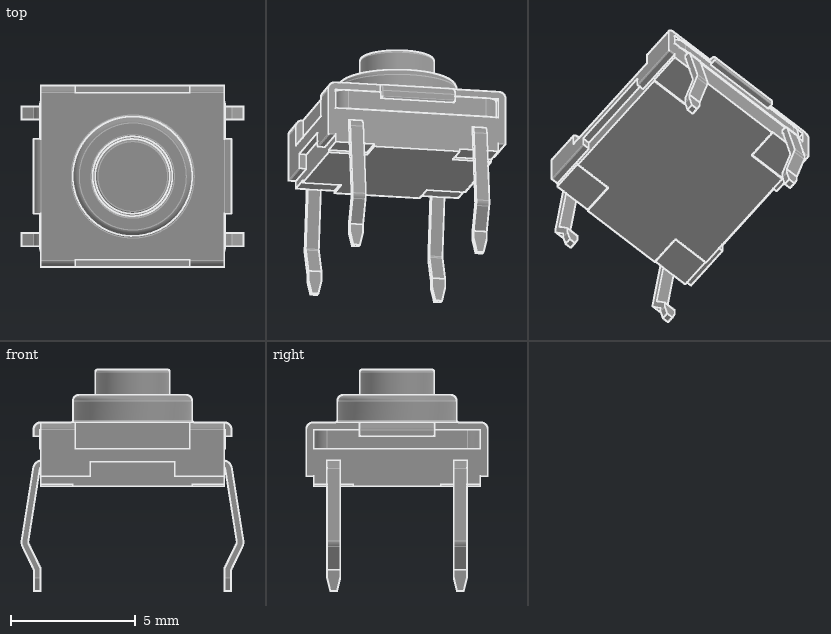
import cadquery as cq
import math

TOTAL_HEIGHT = 8.9
COLLAR_TOP = 7.885
COVER_TOP = 6.78
LEDGE_TOP = 5.71
LEDGE_BOTTOM = 5.19
COVER_BOTTOM = 4.6
BODY_BOTTOM = 4.2

SHEET = 0.3
BEND_RADIUS = 0.285
COVER_HALF_X = 3.68
COVER_HALF_Y = 3.65
WINDOW_HALF_X = 2.3
LEG_GAP_HALF_X = 1.695
EDGE_ROUND = 0.03

TAB_HALF_Y = 1.51
TAB_BOTTOM = 6.21
TAB_THICKNESS = 0.29

BODY_HALF_X = COVER_HALF_X
BODY_HALF_Y = COVER_HALF_Y - SHEET
BODY_TOP = COVER_TOP - SHEET
UPPER_BODY_HALF_X = 3.72
UPPER_CORNER_RADIUS = 0.52
CORNER_RELIEF_HEIGHT = 0.1
RELIEF_START_X = 2.39
RELIEF_START_Y = 1.76

COLLAR_DIAMETER = 4.8
COLLAR_TOP_ROUND = 0.25
COLLAR_HOLE_DIAMETER = 3.2
COLLAR_SMALL_ROUND = 0.07
BUTTON_DIAMETER = 3.0
BUTTON_ROUND = 0.1

LEAD_WIDTH = 0.535
LEAD_THICKNESS = 0.28
LEAD_Y = 2.54
LEAD_TOP = 5.25
LEAD_HALF_SPAN = 4.46
LEAD_ROOT_X = 3.21
LEAD_BEND_RADIUS = 0.375
SHOULDER_CENTRE = (3.62, LEAD_TOP - LEAD_BEND_RADIUS)
KNEE_CENTRE = (LEAD_HALF_SPAN - LEAD_BEND_RADIUS, 1.96)
SLOPE_ANGLE = math.radians(26)
TIP_WIDTH = 0.28
TIP_TAPER_HEIGHT = 0.535


def block(half_x, half_y, bottom, top):
    """Box centred on the Z axis between two heights."""
    return (
        cq.Workplane("XY")
        .workplane(offset=bottom)
        .rect(2 * half_x, 2 * half_y)
        .extrude(top - bottom)
    )


def make_body():
    """Lower block, upper block with rounded corners and the two side ledges."""
    lower = block(BODY_HALF_X, BODY_HALF_Y, BODY_BOTTOM, LEDGE_TOP)
    relief_x = BODY_HALF_X - RELIEF_START_X
    relief_y = BODY_HALF_Y - RELIEF_START_Y
    for side_x in (-1, 1):
        for side_y in (-1, 1):
            relief = (
                cq.Workplane("XY")
                .workplane(offset=BODY_BOTTOM)
                .center(
                    side_x * (RELIEF_START_X + relief_x / 2),
                    side_y * (RELIEF_START_Y + relief_y / 2),
                )
                .rect(relief_x, relief_y)
                .extrude(CORNER_RELIEF_HEIGHT)
            )
            lower = lower.cut(relief)
    upper = (
        block(UPPER_BODY_HALF_X, BODY_HALF_Y, LEDGE_TOP, BODY_TOP)
        .edges("|Z")
        .fillet(UPPER_CORNER_RADIUS)
    )
    ledges = block(WINDOW_HALF_X, COVER_HALF_Y, LEDGE_BOTTOM, LEDGE_TOP)
    return lower.union(upper).union(ledges)


def make_cover():
    """Bent sheet open at both X ends, pierced on top and with a stepped window in each Y wall."""
    cover = (
        block(COVER_HALF_X, COVER_HALF_Y, COVER_BOTTOM, COVER_TOP)
        .edges("|X and >Z")
        .fillet(BEND_RADIUS)
        .cut(block(COVER_HALF_X, BODY_HALF_Y, COVER_BOTTOM, BODY_TOP))
    )
    plate = (
        block(COVER_HALF_X, BODY_HALF_Y, BODY_TOP, COVER_TOP)
        .faces(">Z")
        .workplane()
        .hole(COLLAR_HOLE_DIAMETER)
    )
    cover = (
        cover.cut(block(WINDOW_HALF_X, COVER_HALF_Y, LEDGE_BOTTOM, COVER_TOP))
        .cut(block(LEG_GAP_HALF_X, COVER_HALF_Y, COVER_BOTTOM, LEDGE_BOTTOM))
        .union(plate)
    )
    return (
        cover.faces("<Z")
        .edges("(|X and (<Y or >Y)) or (|Y and (<X or >X))")
        .fillet(EDGE_ROUND)
    )


def make_tab():
    """Tab at the +X end, folded down with a rounded bend."""
    outer_x = COVER_HALF_X + TAB_THICKNESS
    bend_centre_z = COVER_TOP - TAB_THICKNESS
    diagonal = TAB_THICKNESS * math.sqrt(0.5)
    return (
        cq.Workplane("XZ")
        .moveTo(COVER_HALF_X, TAB_BOTTOM)
        .lineTo(outer_x, TAB_BOTTOM)
        .lineTo(outer_x, bend_centre_z)
        .threePointArc(
            (COVER_HALF_X + diagonal, bend_centre_z + diagonal),
            (COVER_HALF_X, COVER_TOP),
        )
        .close()
        .extrude(TAB_HALF_Y, both=True)
        .faces(">X")
        .edges()
        .fillet(EDGE_ROUND)
    )


def make_collar():
    """Round collar with a flared foot and rounded edges at its top and opening."""
    radius = COLLAR_DIAMETER / 2
    flare = COLLAR_SMALL_ROUND
    quarter = 1 - math.sqrt(0.5)
    return (
        cq.Workplane("XZ")
        .moveTo(0, COVER_TOP)
        .lineTo(radius + flare, COVER_TOP)
        .threePointArc(
            (radius + flare * quarter, COVER_TOP + flare * quarter),
            (radius, COVER_TOP + flare),
        )
        .lineTo(radius, COLLAR_TOP)
        .lineTo(0, COLLAR_TOP)
        .close()
        .revolve(360, (0, 0, 0), (0, 1, 0))
        .faces(">Z")
        .edges()
        .fillet(COLLAR_TOP_ROUND)
        .faces(">Z")
        .workplane()
        .hole(COLLAR_HOLE_DIAMETER)
        .faces(">Z")
        .edges(cq.selectors.RadiusNthSelector(0))
        .fillet(COLLAR_SMALL_ROUND)
    )


def make_button():
    """Round push button standing on the body."""
    return (
        cq.Workplane("XY")
        .workplane(offset=BODY_TOP)
        .circle(BUTTON_DIAMETER / 2)
        .extrude(TOTAL_HEIGHT - BODY_TOP)
        .faces(">Z")
        .edges()
        .fillet(BUTTON_ROUND)
    )


def point_on_arc(centre, radius, angle):
    """Point in the XZ plane at an angle above the +X direction."""
    return (
        centre[0] + radius * math.cos(angle),
        centre[1] + radius * math.sin(angle),
    )


def make_lead():
    """Bent lead at the +X side, centred on Y = 0, with a tapered tip."""
    outer_radius = LEAD_BEND_RADIUS
    inner_radius = LEAD_BEND_RADIUS - LEAD_THICKNESS
    foot_inner_x = BODY_HALF_X
    foot_outer_x = foot_inner_x + LEAD_THICKNESS

    shank_angle = math.atan2(
        KNEE_CENTRE[0] - SHOULDER_CENTRE[0],
        SHOULDER_CENTRE[1] - KNEE_CENTRE[1],
    )
    shoulder_middle = (shank_angle + math.pi / 2) / 2
    knee_middle = (shank_angle - SLOPE_ANGLE) / 2

    slope_start = point_on_arc(KNEE_CENTRE, outer_radius, -SLOPE_ANGLE)
    foot_outer_z = slope_start[1] - (slope_start[0] - foot_outer_x) / math.tan(SLOPE_ANGLE)
    foot_inner_z = foot_outer_z + LEAD_THICKNESS * math.tan(SLOPE_ANGLE / 2)

    strip = (
        cq.Workplane("XZ")
        .moveTo(LEAD_ROOT_X, LEAD_TOP)
        .lineTo(SHOULDER_CENTRE[0], LEAD_TOP)
        .threePointArc(
            point_on_arc(SHOULDER_CENTRE, outer_radius, shoulder_middle),
            point_on_arc(SHOULDER_CENTRE, outer_radius, shank_angle),
        )
        .lineTo(*point_on_arc(KNEE_CENTRE, outer_radius, shank_angle))
        .threePointArc(point_on_arc(KNEE_CENTRE, outer_radius, knee_middle), slope_start)
        .lineTo(foot_outer_x, foot_outer_z)
        .lineTo(foot_outer_x, 0)
        .lineTo(foot_inner_x, 0)
        .lineTo(foot_inner_x, foot_inner_z)
        .lineTo(*point_on_arc(KNEE_CENTRE, inner_radius, -SLOPE_ANGLE))
        .threePointArc(
            point_on_arc(KNEE_CENTRE, inner_radius, knee_middle),
            point_on_arc(KNEE_CENTRE, inner_radius, shank_angle),
        )
        .lineTo(*point_on_arc(SHOULDER_CENTRE, inner_radius, shank_angle))
        .threePointArc(
            point_on_arc(SHOULDER_CENTRE, inner_radius, shoulder_middle),
            (SHOULDER_CENTRE[0], LEAD_TOP - LEAD_THICKNESS),
        )
        .lineTo(LEAD_ROOT_X, LEAD_TOP - LEAD_THICKNESS)
        .close()
        .extrude(LEAD_WIDTH / 2, both=True)
    )
    front_outline = (
        cq.Workplane("YZ")
        .moveTo(-TIP_WIDTH / 2, 0)
        .lineTo(TIP_WIDTH / 2, 0)
        .lineTo(LEAD_WIDTH / 2, TIP_TAPER_HEIGHT)
        .lineTo(LEAD_WIDTH / 2, LEAD_TOP)
        .lineTo(-LEAD_WIDTH / 2, LEAD_TOP)
        .lineTo(-LEAD_WIDTH / 2, TIP_TAPER_HEIGHT)
        .close()
        .extrude(LEAD_HALF_SPAN)
    )
    return strip.intersect(front_outline)


result = make_body().union(make_cover()).union(make_collar()).union(make_button())

lead = make_lead()
end_parts = make_tab()
for lead_y in (-LEAD_Y, LEAD_Y):
    end_parts = end_parts.union(lead.translate((0, lead_y, 0)))
result = result.union(end_parts).union(end_parts.mirror("YZ"))